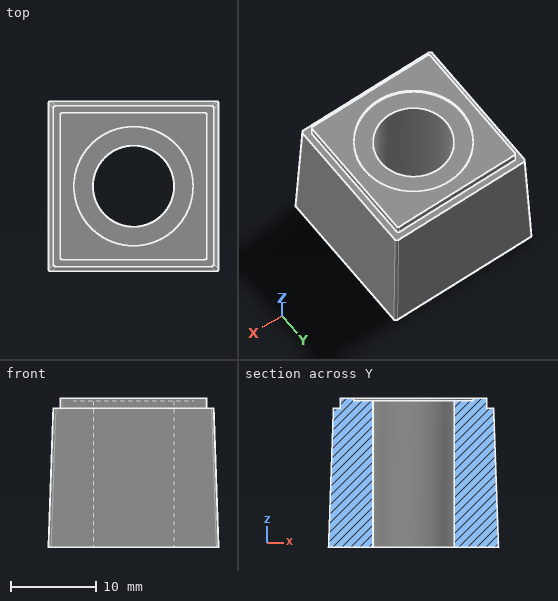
import cadquery as cq

base_side = 20.0
total_height = 17.5

body_top_side = 18.85
body_corner_radius = 0.3
step_height = 1.15
body_height = total_height - step_height

step_side = 17.2
step_corner_radius = 0.2

bore_diameter = 9.5
recess_diameter = 14.0
recess_depth = 0.3


def rounded_square(side, radius, z):
    """Square wire with rounded corners, centred on the Z axis at height z."""
    sketch = cq.Sketch().rect(side, side).vertices().fillet(radius)
    return cq.Workplane("XY").workplane(offset=z).placeSketch(sketch)


def tapered_body():
    bottom = cq.Sketch().rect(base_side, base_side).vertices().fillet(body_corner_radius)
    top = cq.Sketch().rect(body_top_side, body_top_side).vertices().fillet(body_corner_radius)
    top = top.moved(cq.Location(cq.Vector(0, 0, body_height)))
    return cq.Workplane("XY").placeSketch(bottom, top).loft()


def cylinder_cut(diameter, z, depth):
    return cq.Workplane("XY").workplane(offset=z).circle(diameter / 2).extrude(depth)


step = rounded_square(step_side, step_corner_radius, body_height).extrude(step_height)
bore = cylinder_cut(bore_diameter, 0, total_height)
recess = cylinder_cut(recess_diameter, total_height - recess_depth, recess_depth)

result = tapered_body().union(step).cut(bore).cut(recess)